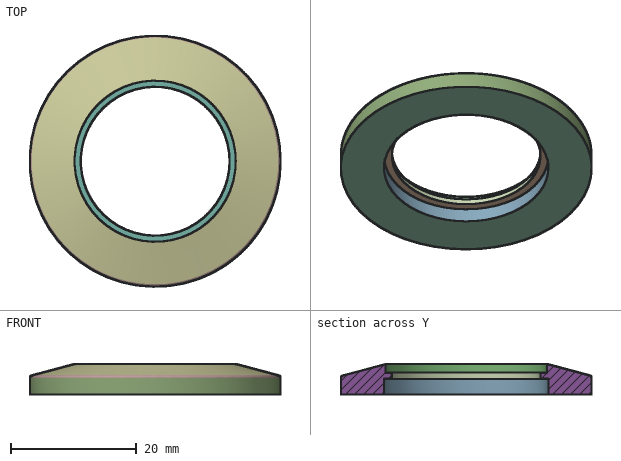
import cadquery as cq
import math

outer_diameter = 40.0
height = 4.9
taper_angle = 15.0
rim_fillet = 0.5

socket_diameter = 25.7
socket_depth = 1.4
waist_diameter = 23.7
recess_diameter = 26.2
recess_depth = 2.5

outer_radius = outer_diameter / 2
socket_radius = socket_diameter / 2
waist_radius = waist_diameter / 2
recess_radius = recess_diameter / 2
ledge_height = height - socket_depth

taper_drop = (outer_radius - socket_radius) * math.tan(math.radians(taper_angle))
rim_height = height - taper_drop

section = [
    (recess_radius, 0),
    (outer_radius, 0),
    (outer_radius, rim_height),
    (socket_radius, height),
    (socket_radius, ledge_height),
    (waist_radius, ledge_height),
    (waist_radius, recess_depth),
    (recess_radius, recess_depth),
]
ring = cq.Workplane("XZ").polyline(section).close().revolve(360, (0, 0), (0, 1))

outer_edges = ring.edges(cq.selectors.RadiusNthSelector(-1))
result = outer_edges.edges(">Z").fillet(rim_fillet)